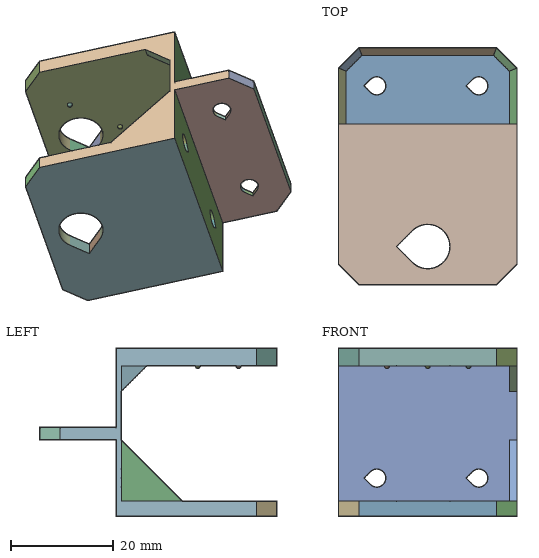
import cadquery as cq
import math

width = 35.0
height = 33.0
clevis_depth = 31.5
total_depth = 46.5
lower_thickness = 3.0
upper_thickness = 3.5
wall_thickness = 1.0
corner_cut = 4.0
upper_underside = height - upper_thickness
wall_front = clevis_depth - wall_thickness

tongue_bottom = 15.0
tongue_thickness = 2.5
tongue_top = tongue_bottom + tongue_thickness
rim_width = 1.5
recess_depth = 1.5

screw_diameter = 3.5
screw_edge_distance = 7.5
pivot_diameter = 8.65
pivot_y = 7.5
screw_xs = (screw_edge_distance, width - screw_edge_distance)

gusset_thickness = 1.5
lower_gusset_leg = 12.0
upper_gusset_leg = 5.0

bump_radius = 0.5
bump_circle_radius = 8.0
bump_angles = (0, 90, 180)


def plate(bottom, thickness):
    """Horizontal plate with its two front corners cut off."""
    body = cq.Workplane("XY").box(width, clevis_depth, thickness, centered=False)
    body = body.faces("<Y").edges("|Z").chamfer(corner_cut)
    return body.translate((0, 0, bottom))


def teardrop(plane, center_x, center_y, diameter, length):
    """Cutter extruded along the plane normal: a circle with a right-angled tip toward -X."""
    radius = diameter / 2
    tangent = radius * math.sqrt(0.5)
    tip = radius * math.sqrt(2)
    return (
        plane.center(center_x, center_y)
        .moveTo(-tangent, tangent)
        .threePointArc((radius, 0), (-tangent, -tangent))
        .lineTo(-tip, 0)
        .close()
        .extrude(length)
    )


def gusset(corner_z, leg, direction):
    """Triangular web in the corner between wall and plate; direction is +1 up or -1 down."""
    return (
        cq.Workplane("YZ", origin=(width - gusset_thickness, 0, 0))
        .moveTo(wall_front, corner_z)
        .lineTo(wall_front - leg, corner_z)
        .lineTo(wall_front, corner_z + direction * leg)
        .close()
        .extrude(gusset_thickness)
    )


def tongue_outline(plane, inset):
    """Tongue outline with cut rear corners, its rear and side edges moved inward by inset."""
    left = inset
    right = width - inset
    rear = total_depth - inset
    cut = corner_cut - inset * (2 - math.sqrt(2))
    return (
        plane.moveTo(left, clevis_depth)
        .lineTo(right, clevis_depth)
        .lineTo(right, rear - cut)
        .lineTo(right - cut, rear)
        .lineTo(left + cut, rear)
        .lineTo(left, rear - cut)
        .close()
    )


def recess():
    """Pocket with sloping sides that opens to the full tongue outline at the top surface."""
    floor_plane = cq.Workplane("XY", origin=(0, 0, tongue_top - recess_depth))
    floor = tongue_outline(floor_plane, rim_width)
    opening = tongue_outline(floor.workplane(offset=recess_depth), 0)
    return opening.loft(ruled=True)


def tongue():
    body = tongue_outline(cq.Workplane("XY", origin=(0, 0, tongue_bottom)), 0)
    body = body.extrude(tongue_thickness).cut(recess())
    for x in screw_xs:
        body = body.cut(
            teardrop(cq.Workplane("XY"), x, total_depth - screw_edge_distance, screw_diameter, height)
        )
    return body


def clevis():
    wall = cq.Workplane("XY").box(width, wall_thickness, height, centered=False)
    body = wall.translate((0, wall_front, 0))
    body = body.union(plate(0, lower_thickness))
    body = body.union(plate(upper_underside, upper_thickness))
    body = body.union(gusset(lower_thickness, lower_gusset_leg, 1))
    body = body.union(gusset(upper_underside, upper_gusset_leg, -1))
    body = body.cut(teardrop(cq.Workplane("XY"), width / 2, pivot_y, pivot_diameter, height))
    for x in screw_xs:
        body = body.cut(
            teardrop(cq.Workplane("XZ"), x, screw_edge_distance, screw_diameter, -clevis_depth)
        )
    return body


def bump(angle):
    """Ball half sunk into the underside of the upper plate."""
    x = width / 2 + bump_circle_radius * math.cos(math.radians(angle))
    y = pivot_y + bump_circle_radius * math.sin(math.radians(angle))
    return cq.Workplane("XY").sphere(bump_radius).translate((x, y, upper_underside))


result = clevis().union(tongue())
for bump_angle in bump_angles:
    result = result.union(bump(bump_angle))